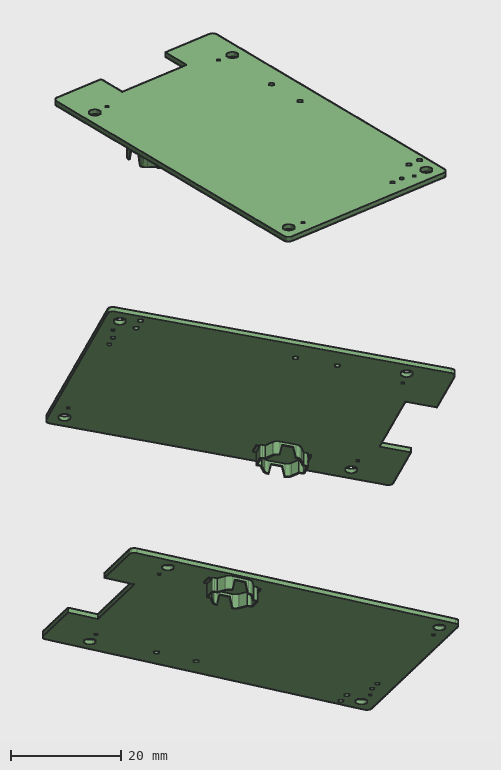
import cadquery as cq
import math

board_length = 66.2
board_width = 38.0
board_thickness = 1.0
board_corner_radius = 1.0
notch_depth = 6.0
notch_width = 15.2

left_edge = -board_length / 2
right_edge = board_length / 2
front_edge = -board_width / 2
back_edge = board_width / 2

mount_hole_diameter = 2.2
mount_left_x = left_edge + 8.6
mount_right_x = right_edge - 2.9
mount_y = back_edge - 2.7
pilot_hole_diameter = 0.6
pilot_left_x = left_edge + 8.35
pilot_right_x = right_edge - 2.6
pilot_y = back_edge - 5.8

lead_hole_diameter = 1.0
wide_pair_x = left_edge + 21.35
wide_pair_pitch = 8.0
wide_pair_y = back_edge - 4.1
header_pair_x = right_edge - 6.4
header_pair_y = back_edge - 1.35
header_pair_pitch = 2.54
small_lead_diameter = 0.8
small_pair_x = right_edge - 3.35
small_pair_y = back_edge - 8.15
small_pair_pitch = 2.2

clip_x = left_edge + 22.2
clip_y = front_edge + 4.0
clip_height = 2.79
strip_thickness = 0.25
clip_half_width = 3.37
straight_half_length = 1.54
shoulder_radius = 1.5
shoulder_angle = math.radians(56)
end_x = 4.61
end_half_width = 1.35
end_corner_radius = 0.35
arch_rail_height = 0.6
arch_top_half_width = 1.05
tab_reach = 5.27
tab_thickness = 0.2
tab_half_width = end_half_width - end_corner_radius


def drill(plate, diameter, points):
    """Drill round holes through the board."""
    drills = (
        cq.Workplane("XY")
        .pushPoints(points)
        .circle(diameter / 2)
        .extrude(board_thickness)
    )
    return plate.cut(drills)


def make_board():
    board = (
        cq.Workplane("XY")
        .rect(board_length, board_width)
        .extrude(board_thickness)
        .edges("|Z")
        .fillet(board_corner_radius)
    )
    notch = (
        cq.Workplane("XY")
        .center(left_edge, 0)
        .rect(2 * notch_depth, notch_width)
        .extrude(board_thickness)
    )
    board = board.cut(notch)

    mount_points = [(x, y) for x in (mount_left_x, mount_right_x) for y in (-mount_y, mount_y)]
    pilot_points = [(x, y) for x in (pilot_left_x, pilot_right_x) for y in (-pilot_y, pilot_y)]
    lead_points = [
        (wide_pair_x, wide_pair_y),
        (wide_pair_x + wide_pair_pitch, wide_pair_y),
        (header_pair_x, header_pair_y),
        (header_pair_x, header_pair_y - header_pair_pitch),
    ]
    small_lead_points = [
        (small_pair_x, small_pair_y),
        (small_pair_x, small_pair_y - small_pair_pitch),
    ]
    board = drill(board, mount_hole_diameter, mount_points)
    board = drill(board, pilot_hole_diameter, pilot_points)
    board = drill(board, lead_hole_diameter, lead_points)
    return drill(board, small_lead_diameter, small_lead_points)


def clip_block(inset):
    """Solid block with the clip's outline moved inward by the inset."""
    side_y = clip_half_width - inset
    end_side_y = end_half_width - inset
    end_face_x = end_x - inset
    shoulder_r = shoulder_radius - inset
    shoulder_centre_y = side_y - shoulder_r
    corner_r = end_corner_radius - inset
    corner_mid = corner_r * (1 - math.sqrt(0.5))

    def on_shoulder(angle):
        x = straight_half_length + shoulder_r * math.sin(angle)
        y = shoulder_centre_y + shoulder_r * math.cos(angle)
        return (x, y)

    slant_x, slant_y = on_shoulder(shoulder_angle)
    neck_x = slant_x + (slant_y - end_side_y) / math.tan(shoulder_angle)

    quarter = (
        cq.Workplane("XY")
        .moveTo(0, 0)
        .lineTo(0, side_y)
        .lineTo(straight_half_length, side_y)
        .threePointArc(on_shoulder(shoulder_angle / 2), (slant_x, slant_y))
        .lineTo(neck_x, end_side_y)
        .lineTo(end_face_x - corner_r, end_side_y)
        .threePointArc(
            (end_face_x - corner_mid, end_side_y - corner_mid),
            (end_face_x, end_side_y - corner_r),
        )
        .lineTo(end_face_x, 0)
        .close()
        .extrude(-clip_height)
    )
    half = quarter.union(quarter.mirror("XZ"))
    return half.union(half.mirror("YZ")).clean()


def make_clip():
    clip = clip_block(0).cut(clip_block(strip_thickness))

    arch = (
        cq.Workplane("XZ")
        .moveTo(-arch_top_half_width, -arch_rail_height)
        .lineTo(arch_top_half_width, -arch_rail_height)
        .lineTo(straight_half_length, -clip_height)
        .lineTo(-straight_half_length, -clip_height)
        .close()
        .extrude(clip_half_width, both=True)
    )
    clip = clip.cut(arch)

    tab_inner_x = end_x - strip_thickness
    tab_length = tab_reach - tab_inner_x
    for side in (-1, 1):
        tab = (
            cq.Workplane("XY")
            .center(side * (tab_inner_x + tab_length / 2), 0)
            .rect(tab_length, 2 * tab_half_width)
            .extrude(-tab_thickness)
        )
        clip = clip.union(tab)
    return clip.translate((clip_x, clip_y, 0))


board = make_board()
clip = make_clip()

result = cq.Compound.makeCompound([board.val(), clip.val()])